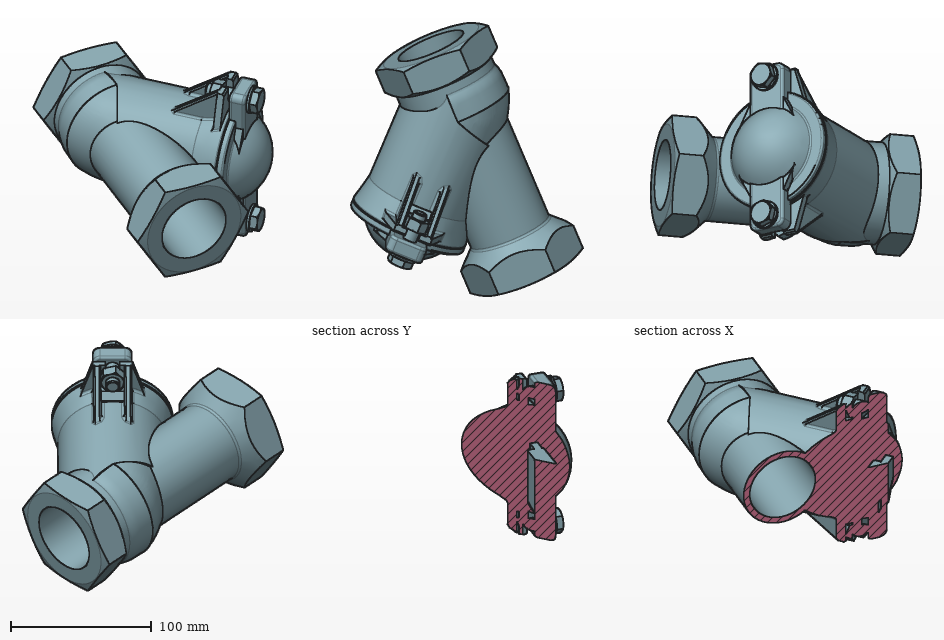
import cadquery as cq
import math

LENGTH = 180.0
BORE_D = 50.0
PIPE_R = 30.0
NECK_R = 36.5
HEX_FLATS = 75.0
HEX_CORNER_R = HEX_FLATS / math.sqrt(3)
FACE_R = 36.5
FACE_CHAMFER = 2.0
INLET_HEX_LENGTH = 23.0
INLET_BACK_CHAMFER_ANGLE = 30.0
OUTLET_CONE_START = LENGTH - 32.8
OUTLET_CONE_ANGLE = 45.0
OUTLET_CONE_BLEND = 2.7
NECK_END = 45.0
TOLERANCE = 0.05

BRANCH_X = 50.0
BRANCH_ANGLE = 45.0
BRANCH_R = 39.1
FLARE_START = 69.3
FLANGE_BOTTOM = 88.0
FLANGE_JOINT = 89.3
JOINT_GROOVE = 0.6
FLANGE_TOP = 94.8
FLANGE_R = 43.2
FLANGE_ROUND = 1.4
DOME_R = 36.5
DOME_CENTRE = 78.9
DOME_BLEND = 1.5

BULGE_START = 29.2
BULGE_STEP = (32.8, 37.6)
BULGE_CREST = (36.5, 38.6)
BULGE_MINOR = 35.8
BULGE_MAJOR = 56.0
BULGE_TILT = 32.0
BRANCH_TRIM_ANGLE = -24.8

LUG_TOP_Z = 62.0
LUG_HALF_WIDTH = 13.9
LUG_CORNER_R = 5.0
COVER_LUG_TOP = 101.4
COVER_LUG_EDGE_R = 2.0
GUSSET_TOP = 100.4
GUSSET_HALF_WIDTH = 23.0
GUSSET_LOW_Z = 18.0
GUSSET_HIGH_Z = 35.0
BODY_LUG_BOTTOM = 80.8
BODY_LUG_FOOT_Z = 33.0
BODY_LUG_FOOT_HALF_WIDTH = 23.0
BODY_LUG_TOP = 86.0
BODY_LUG_EDGE_CHAMFER = 1.2
RIB_INNER = 8.3
RIB_WIDTH = 5.4
RIB_EDGE_CHAMFER = 1.2
RIB_FOOT = 43.4
RIB_TOP = 80.0
RIB_END = 83.0
RIB_FOOT_Z = 35.0
FOOT_BLEND = 2.0
PAD_START = 67.9
PAD_RISE = 4.9
PAD_FRONT_Z = 40.0
EMBED_Z = 30.0

BOLT_Z = 52.5
BOLT_D = 10.0
BOLT_END = 68.2
BOLT_END_CHAMFER = 0.8
WASHER_D = 20.0
WASHER_HEIGHT = 1.8
WRENCH_FLATS = 16.0
WRENCH_TURN = -15.0
WRENCH_CHAMFER_ANGLE = 30.0
HEAD_HEIGHT = 5.6
NUT_HEIGHT = 8.0


def x_cylinder(radius, start, end):
    return cq.Workplane("YZ", origin=(start, 0, 0)).circle(radius).extrude(end - start)


def x_revolve(points):
    """Revolve an (X, radius) outline about the run axis."""
    return cq.Workplane("XY").polyline(points).close().revolve(360, (0, 0, 0), (1, 0, 0))


def x_hexagon(start, end):
    """Hexagon with flats on +Z and -Z and corners on +Y and -Y."""
    prism = cq.Workplane("YZ", origin=(start, 0, 0))
    return prism.polygon(6, 2 * HEX_CORNER_R).extrude(end - start)


def inlet_hexagon():
    back_chamfer = (HEX_CORNER_R - FACE_R) * math.tan(math.radians(INLET_BACK_CHAMFER_ANGLE))
    envelope = x_revolve([
        (0, 0), (0, FACE_R), (FACE_CHAMFER, HEX_CORNER_R),
        (INLET_HEX_LENGTH - back_chamfer, HEX_CORNER_R),
        (INLET_HEX_LENGTH, FACE_R), (INLET_HEX_LENGTH, 0),
    ])
    return x_hexagon(0, INLET_HEX_LENGTH).intersect(envelope)


def outlet_hexagon():
    cone_slope = math.tan(math.radians(OUTLET_CONE_ANGLE))
    cone_end = OUTLET_CONE_START + (HEX_CORNER_R - PIPE_R) / cone_slope
    half_angle = math.radians(OUTLET_CONE_ANGLE / 2)
    tangent_length = OUTLET_CONE_BLEND * math.tan(half_angle)
    blend_start = OUTLET_CONE_START - tangent_length
    centre_r = PIPE_R + OUTLET_CONE_BLEND

    def blend_point(angle):
        return (blend_start + OUTLET_CONE_BLEND * math.sin(angle),
                centre_r - OUTLET_CONE_BLEND * math.cos(angle))

    outline = cq.Workplane("XY").moveTo(blend_start, 0).lineTo(blend_start, PIPE_R)
    outline = outline.threePointArc(blend_point(half_angle), blend_point(2 * half_angle))
    outline = outline.lineTo(cone_end, HEX_CORNER_R).lineTo(LENGTH - FACE_CHAMFER, HEX_CORNER_R)
    outline = outline.lineTo(LENGTH, FACE_R).lineTo(LENGTH, 0).close()
    envelope = outline.revolve(360, (0, 0, 0), (1, 0, 0))
    return x_hexagon(blend_start, LENGTH).intersect(envelope)


def deep_box(x_min, x_max, y_min, y_max):
    """Box spanning the full height of the body."""
    height = 4 * BRANCH_R
    box = cq.Workplane("XY").box(x_max - x_min, y_max - y_min, height, centered=(False, False, True))
    return box.translate((x_min, y_min, 0))


def ellipsoid(half_x, half_y, half_z):
    unit = cq.Workplane("XY").sphere(1.0).val()
    stretch = cq.Matrix([[half_x, 0, 0, 0], [0, half_y, 0, 0], [0, 0, half_z, 0]])
    return cq.Workplane(obj=unit.transformGeometry(stretch))


def inlet_bulge():
    """Lower half of the swell between the inlet neck and the branch root."""
    profile = cq.Workplane("XY").moveTo(BULGE_START, 0).lineTo(BULGE_START, NECK_R).spline(
        [BULGE_STEP, BULGE_CREST, (BRANCH_X, BRANCH_R)],
        tangents=[(1, 0), (1, 0)], includeCurrent=True,
    ).lineTo(BRANCH_X, 0).close()
    half_turn = profile.revolve(180, (0, 0, 0), (1, 0, 0))
    return half_turn.rotate((0, 0, 0), (1, 0, 0), 90)


def outlet_bulge():
    """Quarter of an ellipsoid rounding the branch root towards the outlet pipe."""
    whole = ellipsoid(BULGE_MAJOR, BULGE_MINOR, BRANCH_R)
    whole = whole.rotate((0, 0, 0), (0, 0, 1), BULGE_TILT).translate((BRANCH_X, 0, 0))
    keep = deep_box(BRANCH_X, BRANCH_X + BULGE_MAJOR, -2 * BRANCH_R, 0)
    return whole.intersect(keep)


def branch_frame(shape):
    """Place a shape built with Z along the branch axis and Y along the part's Z."""
    angle = math.radians(BRANCH_ANGLE)
    frame = cq.Plane(
        origin=(BRANCH_X, 0, 0),
        xDir=(-math.sin(angle), math.cos(angle), 0),
        normal=(math.cos(angle), math.sin(angle), 0),
    )
    return cq.Workplane(obj=shape.val().moved(cq.Location(frame)))


def body_lug():
    """Plate tapering outwards from the flare, facing the cover lug."""
    plate = cq.Workplane("XY", origin=(0, 0, BODY_LUG_BOTTOM)).polyline([
        (-BODY_LUG_FOOT_HALF_WIDTH, BODY_LUG_FOOT_Z), (BODY_LUG_FOOT_HALF_WIDTH, BODY_LUG_FOOT_Z),
        (LUG_HALF_WIDTH, LUG_TOP_Z), (-LUG_HALF_WIDTH, LUG_TOP_Z),
    ]).close().extrude(BODY_LUG_TOP - BODY_LUG_BOTTOM)
    return plate.faces(">Z").edges(">Y").chamfer(BODY_LUG_EDGE_CHAMFER)


def lug_slot():
    """Outward opening of the body lug through which the bolt swings."""
    return cq.Workplane("XY", origin=(0, 0, BODY_LUG_BOTTOM)).polyline([
        (-BOLT_D / 2, BOLT_Z), (BOLT_D / 2, BOLT_Z),
        (BOLT_D / 2, LUG_TOP_Z), (-BOLT_D / 2, LUG_TOP_Z),
    ]).close().extrude(BODY_LUG_TOP - BODY_LUG_BOTTOM)


def nut_pad():
    """Raised seat on the barrel between the two ribs."""
    pad_z = BOLT_Z - WRENCH_FLATS / 2
    return cq.Workplane("YZ", origin=(-RIB_INNER, 0, 0)).polyline([
        (EMBED_Z, PAD_START), (PAD_FRONT_Z, PAD_START), (pad_z, PAD_START + PAD_RISE),
        (pad_z, BODY_LUG_TOP), (EMBED_Z, BODY_LUG_TOP),
    ]).close().extrude(2 * RIB_INNER)


def lug_rib(side):
    """Sloping rib running up the barrel to the body lug."""
    start = RIB_INNER if side > 0 else -RIB_INNER - RIB_WIDTH
    rib = cq.Workplane("YZ", origin=(start, 0, 0)).polyline([
        (EMBED_Z, RIB_FOOT), (RIB_FOOT_Z, RIB_FOOT), (LUG_TOP_Z, RIB_TOP),
        (LUG_TOP_Z, RIB_END), (EMBED_Z, RIB_END),
    ]).close().extrude(RIB_WIDTH)
    slope = cq.Vector(0, LUG_TOP_Z - RIB_FOOT_Z, RIB_TOP - RIB_FOOT)
    return rib.edges(cq.selectors.ParallelDirSelector(slope)).chamfer(RIB_EDGE_CHAMFER)


def barrel_radius(height):
    """Radius of the barrel surface at a height along the branch axis."""
    flare = max(0.0, height - FLARE_START) / (FLANGE_BOTTOM - FLARE_START)
    return BRANCH_R + flare * (FLANGE_R - BRANCH_R)


def is_support_foot(edge):
    """True for the edges where the body lug and ribs on the +Y side meet the barrel."""
    middle = edge.positionAt(0.5)
    on_barrel = abs(math.hypot(middle.x, middle.y) - barrel_radius(middle.z)) < TOLERANCE
    below_top = middle.z < BODY_LUG_TOP - TOLERANCE
    on_flare_line = abs(middle.z - FLARE_START) < TOLERANCE
    return on_barrel and below_top and not on_flare_line and middle.y > BODY_LUG_FOOT_Z


def supported_barrel():
    """Solid barrel with the ribs, body lug and nut pad on its +Y and -Y sides."""
    barrel = cq.Workplane("XZ").polyline([
        (0, -2 * BRANCH_R), (BRANCH_R, -2 * BRANCH_R), (BRANCH_R, FLARE_START),
        (FLANGE_R, FLANGE_BOTTOM), (0, FLANGE_BOTTOM),
    ]).close().revolve(360, (0, 0, 0), (0, 1, 0))
    for _ in range(2):
        barrel = barrel.union(lug_rib(1)).union(lug_rib(-1)).union(body_lug())
        barrel = barrel.edges().filter(is_support_foot).fillet(FOOT_BLEND)
        barrel = barrel.cut(lug_slot()).union(nut_pad())
        barrel = barrel.rotate((0, 0, 0), (0, 0, 1), 180)
    return barrel


def branch_body():
    """Branch barrel with its supports, cut off at its root."""
    reach = 2 * FLANGE_BOTTOM
    trim = math.radians(BRANCH_TRIM_ANGLE)
    keep = cq.Workplane("XY", origin=(BRANCH_X, 0, -2 * BRANCH_R)).polyline([
        (0, 0), (reach * math.cos(trim), reach * math.sin(trim)), (reach, reach),
        (INLET_HEX_LENGTH - BRANCH_X, reach), (INLET_HEX_LENGTH - BRANCH_X, 0),
    ]).close().extrude(4 * BRANCH_R)
    return branch_frame(supported_barrel()).intersect(keep)


def flange():
    """Flange rim with the joint groove and the domed cover."""
    lower = cq.Workplane("XY", origin=(0, 0, FLANGE_BOTTOM)).circle(FLANGE_R)
    lower = lower.extrude(FLANGE_JOINT - FLANGE_BOTTOM)
    upper = cq.Workplane("XY", origin=(0, 0, FLANGE_JOINT)).circle(FLANGE_R)
    upper = upper.extrude(FLANGE_TOP - FLANGE_JOINT).faces(">Z").edges().fillet(FLANGE_ROUND)
    dome = cq.Workplane("XY", origin=(0, 0, DOME_CENTRE)).sphere(DOME_R)
    above_flange = cq.Workplane("XY", origin=(0, 0, FLANGE_BOTTOM)).circle(FLANGE_R).extrude(DOME_R)
    cover = upper.union(dome.intersect(above_flange))
    root = cq.selectors.BoxSelector(
        (-DOME_R, -DOME_R, FLANGE_TOP - TOLERANCE),
        (DOME_R, DOME_R, FLANGE_TOP + TOLERANCE),
        boundingbox=True,
    )
    cover = cover.edges(root).fillet(DOME_BLEND)
    groove = cq.Workplane("XY", origin=(0, 0, FLANGE_JOINT))
    groove = groove.circle(FLANGE_R).circle(FLANGE_R - JOINT_GROOVE).extrude(JOINT_GROOVE)
    return lower.union(cover).cut(groove)


def cover_lug():
    """Rounded block on the cover that takes the bolt head, with side gussets."""
    block = cq.Workplane("XY", origin=(0, 0, FLANGE_JOINT)).polyline([
        (-LUG_HALF_WIDTH, 0), (LUG_HALF_WIDTH, 0),
        (LUG_HALF_WIDTH, LUG_TOP_Z), (-LUG_HALF_WIDTH, LUG_TOP_Z),
    ]).close().extrude(COVER_LUG_TOP - FLANGE_JOINT)
    block = block.edges("|Z and >Y").fillet(LUG_CORNER_R)
    block = block.faces("<Z or >Z").edges(">Y").fillet(COVER_LUG_EDGE_R)
    gusset = cq.Workplane("XY", origin=(0, 0, FLANGE_TOP)).polyline([
        (-GUSSET_HALF_WIDTH, 0), (GUSSET_HALF_WIDTH, 0),
        (GUSSET_HALF_WIDTH, GUSSET_LOW_Z), (LUG_HALF_WIDTH, GUSSET_HIGH_Z),
        (-LUG_HALF_WIDTH, GUSSET_HIGH_Z), (-GUSSET_HALF_WIDTH, GUSSET_LOW_Z),
    ]).close().extrude(GUSSET_TOP - FLANGE_TOP)
    return block.union(gusset)


def wrench_hexagon(start, height):
    prism = cq.Workplane("XY", origin=(0, BOLT_Z, start)).transformed(rotate=(0, 0, WRENCH_TURN))
    return prism.polygon(6, WRENCH_FLATS * 2 / math.sqrt(3)).extrude(height)


def wrench_cone(tip, direction, height):
    """Cone trimming the hexagon corners; its end disc touches the flats circle."""
    flats_r = WRENCH_FLATS / 2
    slope = math.tan(math.radians(WRENCH_CHAMFER_ANGLE))
    wide_r = flats_r + height / slope
    return cq.Workplane(obj=cq.Solid.makeCone(
        flats_r, wide_r, height, cq.Vector(0, BOLT_Z, tip), cq.Vector(0, 0, direction)))


def bolt():
    """Clamp bolt with its washer, head and nut."""
    shank = cq.Workplane("XY", origin=(0, BOLT_Z, BOLT_END)).circle(BOLT_D / 2)
    shank = shank.extrude(COVER_LUG_TOP - BOLT_END).faces("<Z").chamfer(BOLT_END_CHAMFER)
    washer = cq.Workplane("XY", origin=(0, BOLT_Z, COVER_LUG_TOP)).circle(WASHER_D / 2)
    washer = washer.extrude(WASHER_HEIGHT)
    head_start = COVER_LUG_TOP + WASHER_HEIGHT
    head = wrench_hexagon(head_start, HEAD_HEIGHT)
    head = head.intersect(wrench_cone(head_start + HEAD_HEIGHT, -1, HEAD_HEIGHT))
    nut_start = BODY_LUG_BOTTOM - NUT_HEIGHT
    nut = wrench_hexagon(nut_start, NUT_HEIGHT).intersect(wrench_cone(nut_start, 1, NUT_HEIGHT))
    return shank.union(washer).union(head).union(nut)


result = x_cylinder(NECK_R, INLET_HEX_LENGTH, NECK_END).union(inlet_hexagon())
result = result.union(branch_body())
result = result.union(inlet_bulge())
result = result.union(x_cylinder(PIPE_R, BRANCH_X, OUTLET_CONE_START))
result = result.union(outlet_bulge())
result = result.union(outlet_hexagon())
result = result.union(branch_frame(flange()))
upper_clamp = branch_frame(cover_lug().union(bolt()))
result = result.union(upper_clamp).union(upper_clamp.mirror("XY"))
result = result.cut(x_cylinder(BORE_D / 2, 0, LENGTH))